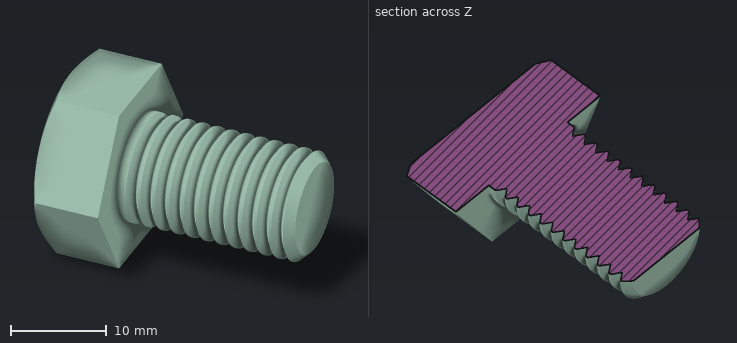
import cadquery as cq
import math

total_length = 27.95
head_height = 8.0
across_flats = 19.0
head_face_diameter = 18.95
head_chamfer_angle = 30.0

thread_diameter = 12.0
thread_depth = 0.98
flank_length = 0.67
pitch_count = 12
end_chamfer_length = 0.98

across_corners = across_flats / math.cos(math.radians(30))
thread_radius = thread_diameter / 2
root_radius = thread_radius - thread_depth
thread_pitch = (total_length - head_height) / pitch_count
groove_count = pitch_count - 1


def revolve_about_x(points):
    """Turn a closed (X, radius) outline about the bolt axis."""
    return cq.Workplane("XY").polyline(points).close().revolve(360, (0, 0, 0), (1, 0, 0))


def make_head():
    """Hexagonal prism with corners on Y, its outer end trimmed by a cone."""
    prism = cq.Workplane("YZ").polygon(6, across_corners).extrude(head_height)
    face_radius = head_face_diameter / 2
    trim_radius = across_corners
    slope = math.tan(math.radians(head_chamfer_angle))
    trim_depth = (trim_radius - face_radius) * slope
    cone_ring = revolve_about_x([
        (0, face_radius),
        (trim_depth, trim_radius),
        (0, trim_radius),
    ])
    return prism.cut(cone_ring)


def make_shank():
    """Shank with evenly spaced V grooves in place of a helical thread."""
    outline = [(head_height, 0), (head_height, thread_radius)]
    for index in range(1, pitch_count):
        root = head_height + index * thread_pitch
        outline.append((root - flank_length, thread_radius))
        outline.append((root, root_radius))
        if index < groove_count:
            outline.append((root + flank_length, thread_radius))
    outline.append((total_length - end_chamfer_length, thread_radius))
    outline.append((total_length, root_radius))
    outline.append((total_length, 0))
    return revolve_about_x(outline)


result = make_head().union(make_shank())